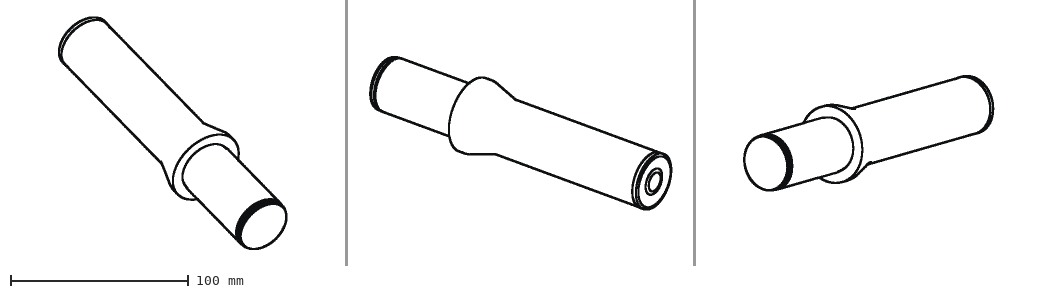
import cadquery as cq

total_length = 189.0
bevel_end = 0.5
rim_start = 0.8
head_end = 3.4
cone_start = 106.0
blend_end = 107.7
cone_end = 123.6
flange_start = 124.4
flange_end = 128.5
relief_end = 129.3
neck_end = 130.0
shank_start = 131.2
shank_end = 185.2
tail_start = 186.0
tail_chamfer_start = 187.9

head_diameter = 33.0
bevel_diameter = 32.0
face_diameter = 30.0
body_diameter = 32.9
blend_diameter = 33.8
cone_end_diameter = 43.8
flange_diameter = 44.0
shank_diameter = 32.0
neck_diameter = 31.5
relief_diameter = 31.2
groove_diameter = 30.8
tail_end_diameter = 30.6

outer_ridge_diameter = 22.0
valley_diameter = 15.5
inner_ridge_diameter = 11.2
valley_depth = 0.5
center_depth = 0.8
face_edge_depth = 0.2


def revolve_about_x(outline):
    return outline.close().revolve(360, (0, 0, 0), (1, 0, 0))


def make_cutting_head():
    """Disc with a bevelled rim, a ring groove and a conical centre in its face."""
    outline = (
        cq.Workplane("XY")
        .moveTo(center_depth, 0)
        .lineTo(0, inner_ridge_diameter / 2)
        .lineTo(valley_depth, valley_diameter / 2)
        .lineTo(0, outer_ridge_diameter / 2)
        .lineTo(face_edge_depth, face_diameter / 2)
        .lineTo(bevel_end, bevel_diameter / 2)
        .lineTo(rim_start, head_diameter / 2)
        .lineTo(head_end, head_diameter / 2)
        .lineTo(head_end, 0)
    )
    return revolve_about_x(outline)


def make_holder():
    """Round body, conical collar with a flange, and the clamping shank behind it."""
    neck_radius = neck_diameter / 2
    outline = (
        cq.Workplane("XY")
        .moveTo(head_end, 0)
        .lineTo(head_end, body_diameter / 2)
        .lineTo(cone_start, body_diameter / 2)
        .lineTo(blend_end, blend_diameter / 2)
        .lineTo(cone_end, cone_end_diameter / 2)
        .lineTo(flange_start, flange_diameter / 2)
        .lineTo(flange_end, flange_diameter / 2)
        .lineTo(flange_end, relief_diameter / 2)
        .lineTo(relief_end, relief_diameter / 2)
        .lineTo(neck_end, neck_radius)
        .lineTo(shank_start, shank_diameter / 2)
        .lineTo(shank_end, shank_diameter / 2)
        .lineTo(shank_end, groove_diameter / 2)
        .lineTo(tail_start, groove_diameter / 2)
        .lineTo(tail_start, neck_radius)
        .lineTo(tail_chamfer_start, neck_radius)
        .lineTo(total_length, tail_end_diameter / 2)
        .lineTo(total_length, 0)
    )
    return revolve_about_x(outline)


cutting_head = make_cutting_head()
holder = make_holder()
result = cq.Compound.makeCompound([cutting_head.val(), holder.val()])